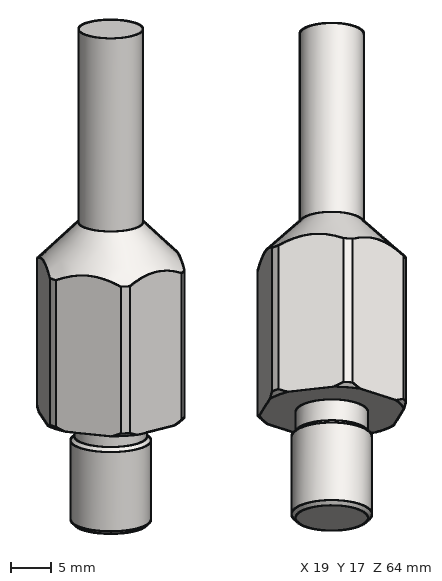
import cadquery as cq
import math

rod_diameter = 8.0
rod_length = 25.0

across_flats = 17.0
corner_diameter = 19.0
body_length = 25.0
cone_angle = 45.0
bottom_chamfer = 0.5

spigot_diameter = 10.0
spigot_length = 14.0
neck_diameter = 9.0
neck_length = 2.75
neck_shoulder = (spigot_diameter - neck_diameter) / 2
tip_chamfer = 0.5

body_bottom = spigot_length
body_top = body_bottom + body_length


def revolved(outline):
    """Solid of revolution about Z from (radius, height) points that start and end on the axis."""
    return cq.Workplane("XZ").polyline(outline).close().revolve(360, (0, 0), (0, 1))


def make_hex_body():
    """Hexagon with corners on the X axis, trimmed by a turned blank that has the cone and chamfer."""
    across_corners = across_flats / math.cos(math.pi / 6)
    hexagon = (
        cq.Workplane("XY")
        .workplane(offset=body_bottom)
        .polygon(6, across_corners)
        .extrude(body_length)
    )
    corner_radius = corner_diameter / 2
    rod_radius = rod_diameter / 2
    cone_height = (corner_radius - rod_radius) * math.tan(math.radians(cone_angle))
    blank = revolved([
        (0, body_bottom),
        (corner_radius - bottom_chamfer, body_bottom),
        (corner_radius, body_bottom + bottom_chamfer),
        (corner_radius, body_top - cone_height),
        (rod_radius, body_top),
        (0, body_top),
    ])
    return hexagon.intersect(blank)


def make_rod():
    """Plain cylinder rising from the cone."""
    return cq.Workplane("XY").workplane(offset=body_top).circle(rod_diameter / 2).extrude(rod_length)


def make_spigot():
    """Cylinder with a chamfered tip and a neck below the hexagon."""
    spigot_radius = spigot_diameter / 2
    neck_radius = neck_diameter / 2
    neck_bottom = body_bottom - neck_length
    return revolved([
        (0, 0),
        (spigot_radius - tip_chamfer, 0),
        (spigot_radius, tip_chamfer),
        (spigot_radius, neck_bottom - neck_shoulder),
        (neck_radius, neck_bottom),
        (neck_radius, body_bottom),
        (0, body_bottom),
    ])


result = make_hex_body().union(make_rod()).union(make_spigot())